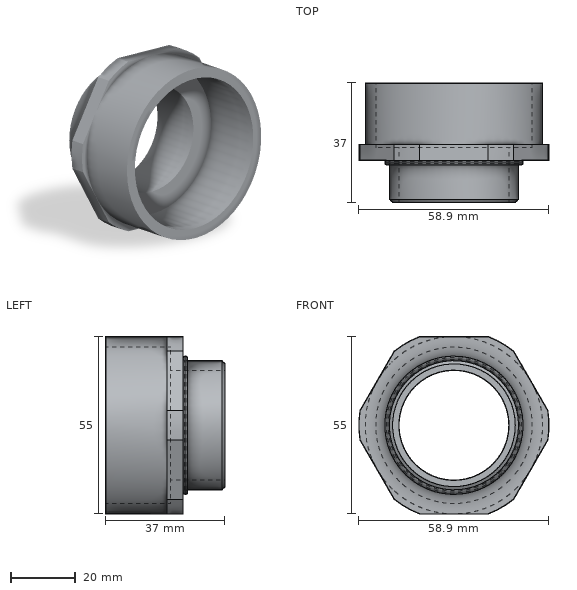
import cadquery as cq

corner_diameter = 58.9
across_flats = 55.0
body_diameter = across_flats
body_length = 19.0
flange_thickness = 5.0
spigot_diameter = 40.0
spigot_length = 13.0
spigot_chamfer = 1.0
bore_diameter = 34.0
bore_length = 16.95
socket_diameter = 48.5
ring_section_diameter = 1.5
ring_embed = 0.05

body_start = flange_thickness
body_end = body_start + body_length
spigot_end = -spigot_length
socket_floor = spigot_end + bore_length


def cylinder(diameter, start, length):
    """Solid cylinder about the Y axis, growing towards +Y from start."""
    plane = cq.Workplane("XZ", origin=(0, start, 0))
    return plane.circle(diameter / 2).extrude(-length)


def make_flange():
    """Hexagon with flats facing +Z and -Z and its corners turned round."""
    hexagon = (
        cq.Workplane("XZ")
        .transformed(rotate=(0, 0, 90))
        .polygon(6, across_flats, circumscribed=True)
        .extrude(-flange_thickness)
    )
    return hexagon.intersect(cylinder(corner_diameter, 0, flange_thickness))


def make_spigot():
    """Plain spigot with a chamfered outer rim at its free end."""
    spigot = cylinder(spigot_diameter, spigot_end, spigot_length)
    return spigot.faces("<Y").chamfer(spigot_chamfer)


def make_sealing_ring():
    """Round-section ring seated in the corner of spigot and flange."""
    section_radius = ring_section_diameter / 2
    center_radius = spigot_diameter / 2 + section_radius - ring_embed
    center_y = ring_embed - section_radius
    return (
        cq.Workplane("XY")
        .center(center_radius, center_y)
        .circle(section_radius)
        .revolve(360, (-center_radius, 0), (-center_radius, 1))
    )


body = cylinder(body_diameter, body_start, body_length)
bore = cylinder(bore_diameter, spigot_end, bore_length)
socket = cylinder(socket_diameter, socket_floor, body_end - socket_floor)

result = (
    make_flange()
    .union(body)
    .union(make_spigot())
    .union(make_sealing_ring())
    .cut(bore)
    .cut(socket)
)